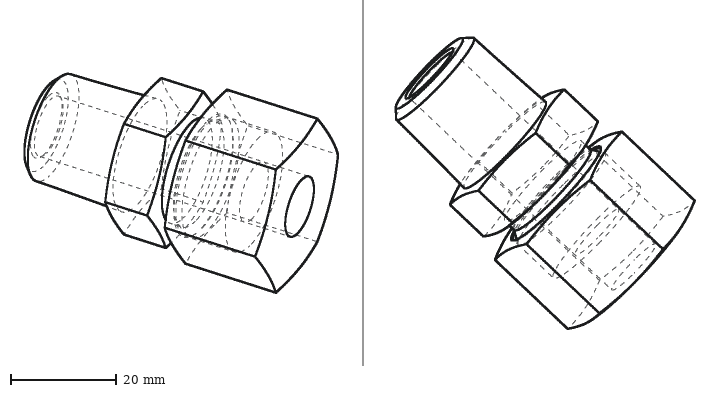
import cadquery as cq
import math


total_length = 54.0
body_hex_start = 20.0
body_hex_length = 10.05
nut_length = 20.5
relief_length = 2.5
spigot_depth = 10.8

body_hex_end = body_hex_start + body_hex_length
nut_start = total_length - nut_length
relief_end = body_hex_end + relief_length
spigot_end = nut_start + spigot_depth

body_hex_flats = 27.0
nut_flats = 30.0
hex_chamfer_angle = 15.0

thread_tip_radius = 10.7
thread_lead_in = 1.5
taper_ratio = 1 / 32
relief_radius = 10.55
spigot_radius = 12.0
neck_cone_angle = 30.0
bore_radius = 6.0
bore_chamfer = 0.55
socket_chamfer = 0.25

neck_cone_length = (spigot_radius - relief_radius) / math.tan(math.radians(neck_cone_angle))
neck_cone_end = relief_end + neck_cone_length
thread_root_radius = thread_tip_radius + (body_hex_start - thread_lead_in) * taper_ratio


def revolve_about_x(profile_points):
    """Turn a closed (x, radius) profile about the X axis."""
    profile = cq.Workplane("XY").polyline(profile_points).close()
    return profile.revolve(360, (0, 0, 0), (1, 0, 0))


def chamfered_hexagon(start, length, flats):
    """Hexagonal prism along X with corners on +-Y and both ends turned to a shallow cone."""
    flat_radius = flats / 2
    corner_radius = flat_radius / math.cos(math.radians(30))
    chamfer_depth = (corner_radius - flat_radius) * math.tan(math.radians(hex_chamfer_angle))
    end = start + length
    prism = (
        cq.Workplane("YZ", origin=(start, 0, 0))
        .polygon(6, 2 * corner_radius)
        .extrude(length)
    )
    turned_blank = revolve_about_x([
        (start, 0),
        (start, flat_radius),
        (start + chamfer_depth, corner_radius),
        (end - chamfer_depth, corner_radius),
        (end, flat_radius),
        (end, 0),
    ])
    return prism.intersect(turned_blank)


def cylinder_along_x(start, end, radius):
    return cq.Workplane("YZ", origin=(start, 0, 0)).circle(radius).extrude(end - start)


def countersink(start, hole_radius, size):
    """Cutter for a 45 degree chamfer on the -X mouth of a hole."""
    return revolve_about_x([
        (start, 0),
        (start, hole_radius + size),
        (start + size, hole_radius),
        (start + size, 0),
    ])


def make_fitting_body():
    """Tapered thread, hexagon, relieved neck and spigot, with a through bore."""
    turned_shape = revolve_about_x([
        (0, 0),
        (0, thread_tip_radius - thread_lead_in),
        (thread_lead_in, thread_tip_radius),
        (body_hex_start, thread_root_radius),
        (body_hex_end, thread_root_radius),
        (body_hex_end, relief_radius),
        (relief_end, relief_radius),
        (neck_cone_end, spigot_radius),
        (spigot_end, spigot_radius),
        (spigot_end, 0),
    ])
    hexagon = chamfered_hexagon(body_hex_start, body_hex_length, body_hex_flats)
    bore = cylinder_along_x(0, spigot_end, bore_radius)
    bore_entry = countersink(0, bore_radius, bore_chamfer)
    return turned_shape.union(hexagon).cut(bore).cut(bore_entry)


def make_union_nut():
    """Hexagonal nut with a socket for the spigot and the bore carried through."""
    hexagon = chamfered_hexagon(nut_start, nut_length, nut_flats)
    socket = cylinder_along_x(nut_start, spigot_end, spigot_radius)
    socket_entry = countersink(nut_start, spigot_radius, socket_chamfer)
    bore = cylinder_along_x(nut_start, total_length, bore_radius)
    return hexagon.cut(socket).cut(socket_entry).cut(bore)


fitting_body = make_fitting_body()
union_nut = make_union_nut()

result = cq.Compound.makeCompound([fitting_body.val(), union_nut.val()])